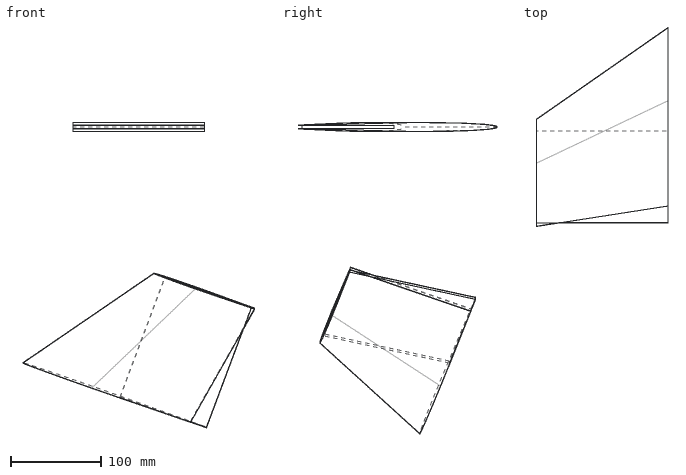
import cadquery as cq

span = 146.0
thickness = 10.1
tip_chord = 118.9
root_leading_y = 220.5
root_trailing_y = 22.7
root_chord = root_leading_y - root_trailing_y

half_thickness = thickness / 2
trailing_half_thickness = 2.2
crest_fraction = 0.41
rear_control_fraction = 0.51
nose_fullness = 0.6

plate_thickness = 3.3
plate_rear_y = 4.0
plate_front_y = 105.8


def mirrored(points):
    """Control points mirrored in the plane Z = 0, in reverse order."""
    return [cq.Vector(point.x, point.y, -point.z) for point in reversed(points)]


def fin_section(x, trailing_y, chord):
    """Closed symmetric section at x with a round nose and a blunt trailing edge."""
    leading_y = trailing_y + chord
    crest_y = leading_y - crest_fraction * chord
    rear_control_y = leading_y - rear_control_fraction * chord
    nose_control_y = crest_y + nose_fullness * (leading_y - crest_y)
    rear_curve = [
        cq.Vector(x, trailing_y, trailing_half_thickness),
        cq.Vector(x, rear_control_y, half_thickness),
        cq.Vector(x, crest_y, half_thickness),
    ]
    nose_curve = [
        cq.Vector(x, crest_y, half_thickness),
        cq.Vector(x, nose_control_y, half_thickness),
        cq.Vector(x, leading_y, nose_fullness * half_thickness),
        cq.Vector(x, leading_y, 0),
    ]
    lower_nose = mirrored(nose_curve)
    lower_rear = mirrored(rear_curve)
    return cq.Wire.assembleEdges([
        cq.Edge.makeBezier(rear_curve),
        cq.Edge.makeBezier(nose_curve),
        cq.Edge.makeBezier(lower_nose),
        cq.Edge.makeBezier(lower_rear),
        cq.Edge.makeLine(lower_rear[-1], rear_curve[0]),
    ])


def spanwise_slab(rear_y, front_y):
    """Flat slab over the full span, as thick as the plate and centred on Z = 0."""
    return (
        cq.Workplane("XY")
        .box(span, front_y - rear_y, plate_thickness, centered=(False, False, True))
        .translate((0, rear_y, 0))
    )


def make_fin():
    """Tapered fin with a slot that opens through its trailing edge and both ends."""
    tip = fin_section(0, 0, tip_chord)
    root = fin_section(span, root_trailing_y, root_chord)
    blank = cq.Workplane(obj=cq.Solid.makeLoft([tip, root], True))
    return blank.cut(spanwise_slab(0, plate_front_y))


def make_plate():
    """Rectangular plate that fills the slot up to its blind end."""
    return spanwise_slab(plate_rear_y, plate_front_y)


fin = make_fin()
plate = make_plate()
result = cq.Compound.makeCompound([fin.solids().val(), plate.val()])